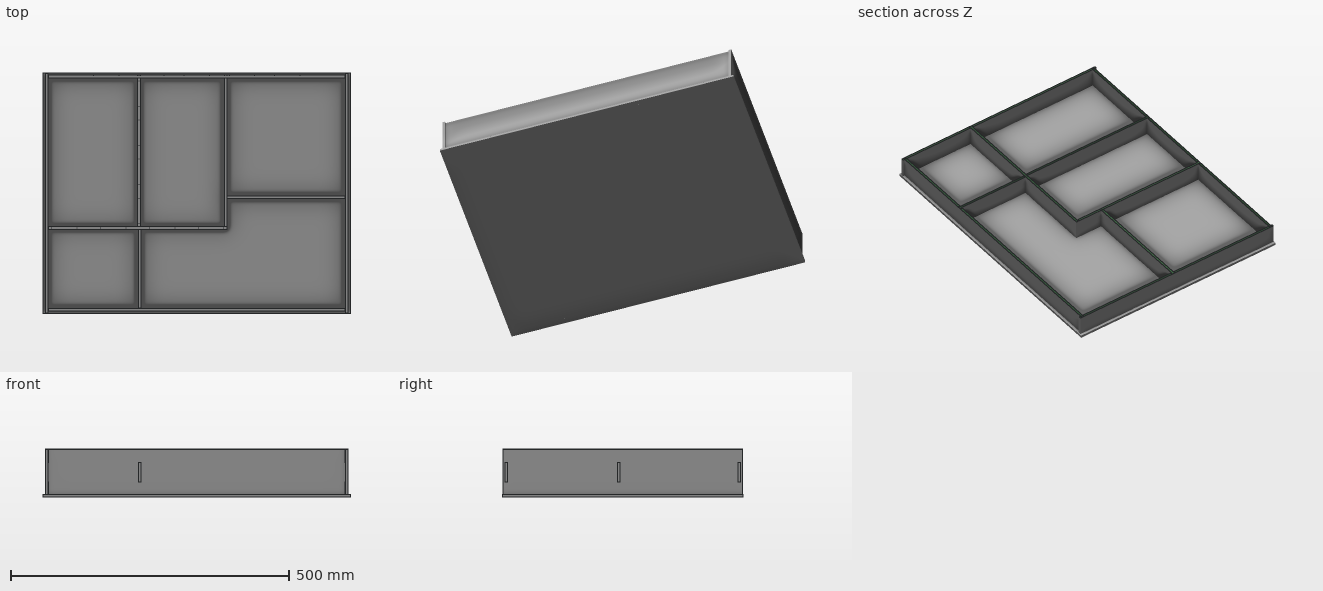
import cadquery as cq

length_x = 553.0
width_y = 433.0
height_z = 86.0
thickness = 5.0
overhang = 4.5
side_wall_inset = 1.0
joint_gap = 0.3

base_tab_length = 45.5
end_tab_height = 35.5
end_tab_center = 45.0

end_wall_tabs = (5, 81.0)
side_wall_tabs = (7, 60.0)
long_divider_tabs = (4, 88.0)
rear_divider_tabs = (4, 70.0)
front_divider_tabs = (2, 78.0)
right_divider_tabs = (3, 69.5)

left_divider_x = -104.0
front_divider_x = -102.0
middle_divider_x = 52.0
long_divider_y = -62.5
right_divider_y = -7.0

half_thickness = thickness / 2
side_inner = length_x / 2 - overhang - thickness
end_inner = width_y / 2 - overhang - thickness
side_wall_x = side_inner + half_thickness
end_wall_y = end_inner + half_thickness
side_wall_reach = width_y / 2 - side_wall_inset
long_divider_front = long_divider_y - half_thickness
long_divider_rear = long_divider_y + half_thickness
middle_divider_right = middle_divider_x + half_thickness


def around(center, width):
    """Limits of a stretch of the given width about a centre."""
    return (center - width / 2, center + width / 2)


def block(x_range, y_range, z_range):
    """Axis-aligned box given by its limits along each axis."""
    sizes = [high - low for low, high in (x_range, y_range, z_range)]
    corner = (x_range[0], y_range[0], z_range[0])
    return cq.Workplane("XY").box(*sizes, centered=False).translate(corner)


def panel(axis, position, start, end, base_tabs, start_tab=False, end_tab=False):
    """Upright panel that runs along an axis from start to end.

    position is its centre plane on the other horizontal axis. Its base tabs go through the
    base plate; an end with a tab also goes through the wall that it meets.
    """
    across = around(position, thickness)

    def slab(run, z_range):
        if axis == "X":
            return block(run, across, z_range)
        return block(across, run, z_range)

    bottom = thickness + joint_gap
    body = slab((start, end), (bottom, height_z))

    tab_count, tab_pitch = base_tabs
    first_tab = (start + end) / 2 - (tab_count - 1) / 2 * tab_pitch
    for index in range(tab_count):
        tab_run = around(first_tab + index * tab_pitch, base_tab_length)
        body = body.union(slab(tab_run, (0, bottom)))

    tab_reach = joint_gap + thickness
    tab_z = around(end_tab_center, end_tab_height)
    if start_tab:
        body = body.union(slab((start - tab_reach, start), tab_z))
    if end_tab:
        body = body.union(slab((end, end + tab_reach), tab_z))
    return body


def with_slots(body, panels):
    """Cut the slots that the tabs of the given panels fill."""
    for tabbed_panel in panels:
        body = body.cut(tabbed_panel)
    return body


def end_wall(y):
    """Front or back wall, held between the side walls."""
    reach = side_inner - joint_gap
    return panel("X", y, -reach, reach, end_wall_tabs, start_tab=True, end_tab=True)


def side_wall(x):
    """Left or right wall, reaching past the front and back walls."""
    return panel("Y", x, -side_wall_reach, side_wall_reach, side_wall_tabs)


def rear_divider(x):
    """Divider from the long divider back to the back wall."""
    start = long_divider_rear + joint_gap
    return panel("Y", x, start, end_inner - joint_gap, rear_divider_tabs, end_tab=True)


left_divider = rear_divider(left_divider_x)
middle_divider = rear_divider(middle_divider_x)
long_divider = panel(
    "X", long_divider_y, -side_inner + joint_gap, middle_divider_right, long_divider_tabs, start_tab=True
)
front_divider = panel(
    "Y",
    front_divider_x,
    -end_inner + joint_gap,
    long_divider_front - joint_gap,
    front_divider_tabs,
    start_tab=True,
)
right_divider = panel(
    "X",
    right_divider_y,
    middle_divider_right + joint_gap,
    side_inner - joint_gap,
    right_divider_tabs,
    end_tab=True,
)
dividers = [left_divider, middle_divider, long_divider, front_divider, right_divider]

front_wall = with_slots(end_wall(-end_wall_y), [front_divider])
back_wall = with_slots(end_wall(end_wall_y), [left_divider, middle_divider])
left_wall = with_slots(side_wall(-side_wall_x), [front_wall, back_wall, long_divider])
right_wall = with_slots(side_wall(side_wall_x), [front_wall, back_wall, right_divider])
walls = [front_wall, back_wall, left_wall, right_wall]

base_blank = block(around(0, length_x), around(0, width_y), (0, thickness))
base_plate = with_slots(base_blank, walls + dividers)

result = cq.Compound.makeCompound([body.val() for body in [base_plate] + walls + dividers])